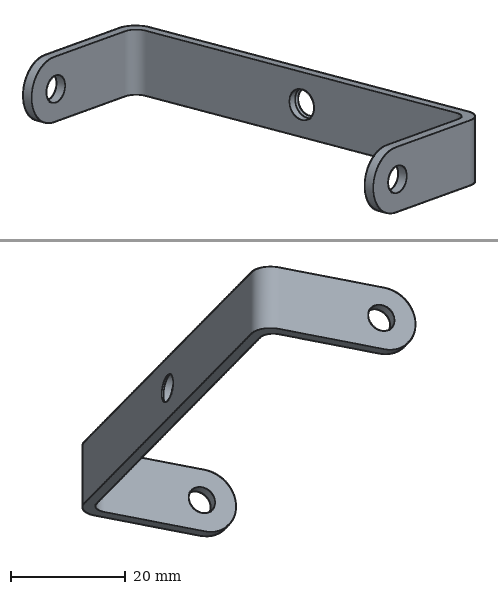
import cadquery as cq

length = 80.4
depth = 29.7
height = 12.0
thickness = 2.0

inner_bend_radius = 2.5
outer_bend_radius = 3.6

hole_diameter = 5.0
web_hole_x = 0.2
web_hole_diameter = 5.6
taper_depth = 0.5
arm_hole_from_tip = 6.5

arm_end_radius = height / 2
web_inner_y = depth - thickness


def bent_strap():
    """U-shaped strap with its web at the back and its arms pointing to -Y."""
    outer = (
        cq.Workplane("XY")
        .rect(length, 2 * depth)
        .extrude(height)
        .edges("|Z and >Y")
        .fillet(outer_bend_radius)
    )
    inner = (
        cq.Workplane("XY")
        .rect(length - 2 * thickness, 2 * web_inner_y)
        .extrude(height)
        .edges("|Z and >Y")
        .fillet(inner_bend_radius)
    )
    return outer.cut(inner)


def side_profile():
    """Side outline with rounded arm ends, swept across the full length."""
    return (
        cq.Workplane("YZ")
        .moveTo(depth, 0)
        .lineTo(arm_end_radius, 0)
        .threePointArc((0, height / 2), (arm_end_radius, height))
        .lineTo(depth, height)
        .close()
        .extrude(length / 2, both=True)
    )


def arm_holes():
    """One cylinder along X that pierces both arms."""
    return (
        cq.Workplane("YZ")
        .center(arm_hole_from_tip, height / 2)
        .circle(hole_diameter / 2)
        .extrude(length / 2, both=True)
    )


def web_hole():
    """Hole along Y through the web, tapering to a narrower mouth at the outer face."""
    bore = (
        cq.Workplane("XZ", origin=(web_hole_x, web_inner_y, height / 2))
        .circle(web_hole_diameter / 2)
        .extrude(-thickness + taper_depth)
    )
    taper = (
        cq.Workplane("XZ", origin=(web_hole_x, depth, height / 2))
        .circle(hole_diameter / 2)
        .workplane(offset=taper_depth)
        .circle(web_hole_diameter / 2)
        .loft()
    )
    return bore.union(taper)


result = bent_strap().intersect(side_profile()).cut(arm_holes()).cut(web_hole())